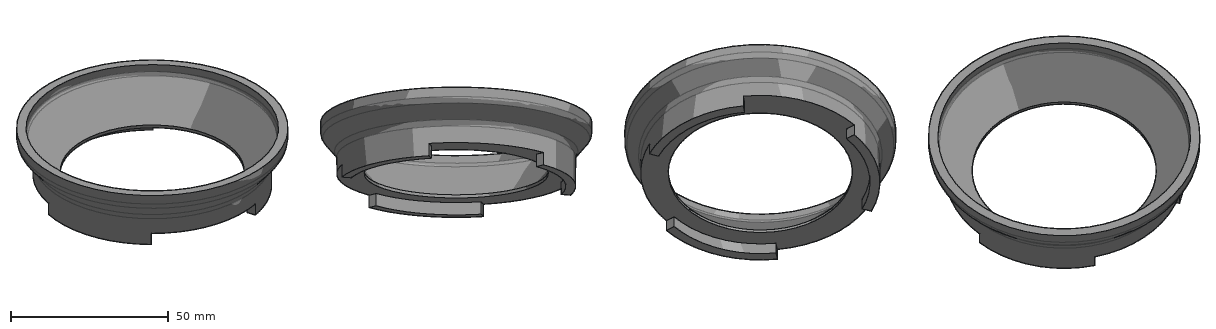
import cadquery as cq
import math

height = 20.9
rim_radius = 86 / 2
rim_bore_radius = 80 / 2
skirt_radius = 75.8 / 2
throat_radius = 58.3 / 2
flare_angle = 40.0
flare_start = 10.6
funnel_end = 17.6
flare_fillet = 3.0
bore_fillet = 2.0
leg_height = 4.0
leg_inner_radius = 34.75
throat_lip = 1.0
leg_count = 3
leg_sweep = 60.0
leg_pitch = 360 / leg_count

flare_end = flare_start + (rim_radius - skirt_radius) / math.tan(math.radians(flare_angle))
funnel_start = leg_height + throat_lip


def revolve_profile(points, sweep=360.0):
    """Revolve a (radius, height) outline about Z, counterclockwise from the +X axis."""
    return (
        cq.Workplane("XZ")
        .polyline(points)
        .close()
        .revolve(sweep, (0, 0, 0), (0, 1, 0))
    )


def edges_at_height(body, z):
    """Select the circular edges lying at height z."""
    reach = 2 * rim_radius
    margin = 0.1
    return body.edges(cq.selectors.BoxSelector(
        (-reach, -reach, z - margin), (reach, reach, z + margin), boundingbox=True))


def make_ring():
    """Flared ring with a conical funnel and a recess bounded by a full skirt."""
    ring = revolve_profile([
        (throat_radius, leg_height),
        (leg_inner_radius, leg_height),
        (leg_inner_radius, 0),
        (skirt_radius, 0),
        (skirt_radius, flare_start),
        (rim_radius, flare_end),
        (rim_radius, height),
        (rim_bore_radius, height),
        (rim_bore_radius, funnel_end),
        (throat_radius, funnel_start),
    ])
    for corner_height in (flare_start, flare_end):
        ring = edges_at_height(ring, corner_height).fillet(flare_fillet)
    return edges_at_height(ring, funnel_end).fillet(bore_fillet)


def make_notch():
    """Gap between two legs, starting where the leg at the +X axis ends."""
    notch = revolve_profile([
        (throat_radius, 0),
        (rim_radius, 0),
        (rim_radius, leg_height),
        (throat_radius, leg_height),
    ], leg_pitch - leg_sweep)
    return notch.rotate((0, 0, 0), (0, 0, 1), leg_sweep)


result = make_ring()
notch = make_notch()
for index in range(leg_count):
    result = result.cut(notch.rotate((0, 0, 0), (0, 0, 1), index * leg_pitch))